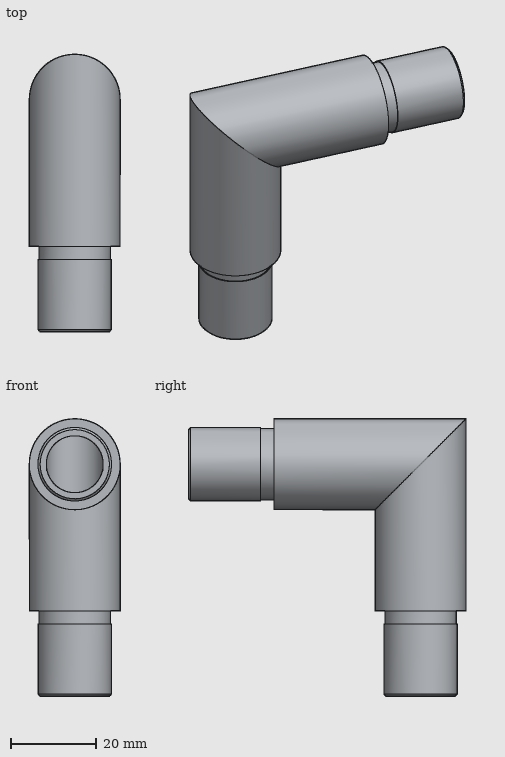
import cadquery as cq

overall_length = 65.0
body_diameter = 21.3
neck_diameter = 16.8
spigot_diameter = 17.2
bore_diameter = 13.3
neck_length = 3.1
spigot_length = 16.9
end_chamfer = 0.5

corner_reach = body_diameter / 2
end_z = corner_reach - overall_length
spigot_top_z = end_z + spigot_length
shoulder_z = spigot_top_z + neck_length


def cylinder(diameter, bottom_z, top_z):
    """Cylinder on the Z axis between two heights."""
    return cq.Workplane("XY").workplane(offset=bottom_z).circle(diameter / 2).extrude(top_z - bottom_z)


def mitre_half():
    """Prism on the vertical leg's side of the 45 degree plane z = y."""
    return (
        cq.Workplane("YZ")
        .moveTo(corner_reach, corner_reach)
        .lineTo(corner_reach, end_z)
        .lineTo(-corner_reach, end_z)
        .lineTo(-corner_reach, -corner_reach)
        .close()
        .extrude(corner_reach, both=True)
    )


def vertical_leg():
    """Hollow leg pointing down, with a necked spigot and a mitred upper end."""
    body = cylinder(body_diameter, shoulder_z, corner_reach)
    neck = cylinder(neck_diameter, spigot_top_z, shoulder_z)
    spigot = cylinder(spigot_diameter, end_z, spigot_top_z).faces("<Z").chamfer(end_chamfer)
    bore = cylinder(bore_diameter, end_z, corner_reach)
    return body.union(neck).union(spigot).cut(bore).intersect(mitre_half())


down_leg = vertical_leg()
side_leg = down_leg.rotate((0, 0, 0), (0, 1, 1), 180)
result = down_leg.union(side_leg)